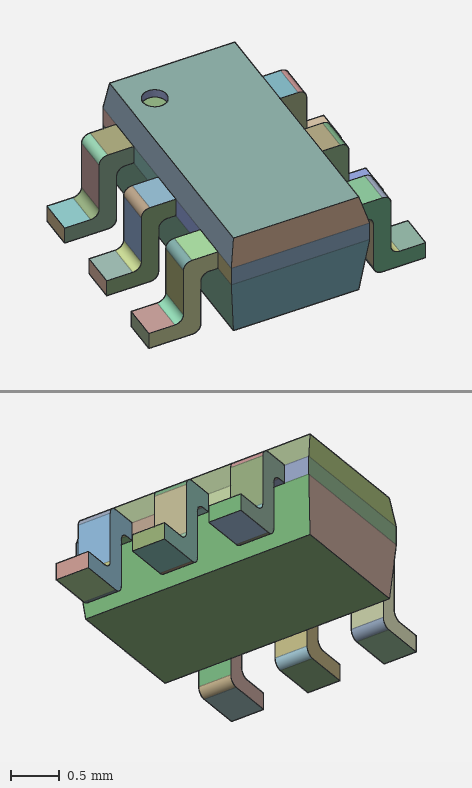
import cadquery as cq

BODY_LENGTH = 2.9
BODY_WIDTH = 1.6
STANDOFF = 0.1
LOWER_HEIGHT = 0.672
BAND_HEIGHT = 0.22
UPPER_HEIGHT = 0.35
END_INSET = 0.05
FRONT_INSET = 0.05
BACK_INSET = 0.1

LEAD_SPAN = 3.2
LEAD_WIDTH = 0.4
LEAD_PITCH = 0.95
LEADS_PER_SIDE = 3
LEAD_THICKNESS = 0.2
SHANK_OUTER_Y = 1.2
BEND_RADIUS = 0.1
LEAD_ROOT_OVERLAP = 0.095

DIMPLE_DIAMETER = 0.275
DIMPLE_DEPTH = 0.1
DIMPLE_X = -0.97
DIMPLE_Y = -0.445

band_bottom = STANDOFF + LOWER_HEIGHT
band_top = band_bottom + BAND_HEIGHT
body_top = band_top + UPPER_HEIGHT


def tapered_cap(base_z, height):
    """Cap from the band outline at base_z to its inset end face; a negative height points down."""
    end_length = BODY_LENGTH - 2 * END_INSET
    end_width = BODY_WIDTH - FRONT_INSET - BACK_INSET
    end_shift = (FRONT_INSET - BACK_INSET) / 2
    return (
        cq.Workplane("XY", origin=(0, 0, base_z))
        .rect(BODY_LENGTH, BODY_WIDTH)
        .workplane(offset=height)
        .center(0, end_shift)
        .rect(end_length, end_width)
        .loft(ruled=True)
    )


def make_body():
    band = cq.Workplane("XY", origin=(0, 0, band_bottom)).rect(BODY_LENGTH, BODY_WIDTH).extrude(BAND_HEIGHT)
    upper_cap = tapered_cap(band_top, UPPER_HEIGHT)
    lower_cap = tapered_cap(band_bottom, -LOWER_HEIGHT)
    return band.union(upper_cap).union(lower_cap)


def make_lead():
    """One lead on the +Y side, centred on X = 0 and rooted inside the body."""
    root_y = BODY_WIDTH / 2 - LEAD_ROOT_OVERLAP
    toe_y = LEAD_SPAN / 2
    shank_inner_y = SHANK_OUTER_Y - LEAD_THICKNESS
    profile = [
        (root_y, band_top),
        (SHANK_OUTER_Y, band_top),
        (SHANK_OUTER_Y, LEAD_THICKNESS),
        (toe_y, LEAD_THICKNESS),
        (toe_y, 0),
        (shank_inner_y, 0),
        (shank_inner_y, band_bottom),
        (root_y, band_bottom),
    ]
    blank = cq.Workplane("YZ").polyline(profile).close().extrude(LEAD_WIDTH / 2, both=True)
    margin = BEND_RADIUS / 2
    bend_zone = cq.selectors.BoxSelector(
        (-LEAD_WIDTH, shank_inner_y - margin, -margin),
        (LEAD_WIDTH, SHANK_OUTER_Y + margin, band_top + margin),
    )
    return blank.edges("|X").edges(bend_zone).fillet(BEND_RADIUS)


def add_leads(body):
    back_lead = make_lead()
    front_lead = back_lead.mirror("XZ")
    for index in range(LEADS_PER_SIDE):
        lead_x = (index - (LEADS_PER_SIDE - 1) / 2) * LEAD_PITCH
        for lead in (back_lead, front_lead):
            body = body.union(lead.translate((lead_x, 0, 0)))
    return body


def make_dimple():
    return (
        cq.Workplane("XY", origin=(DIMPLE_X, DIMPLE_Y, body_top))
        .circle(DIMPLE_DIAMETER / 2)
        .extrude(-DIMPLE_DEPTH)
    )


result = add_leads(make_body()).cut(make_dimple())